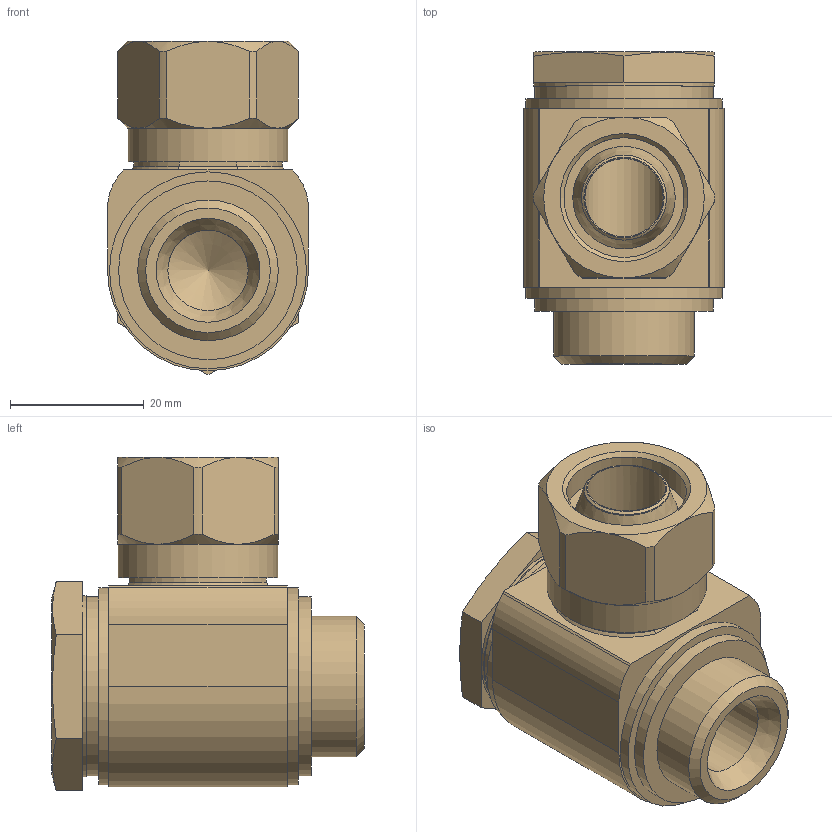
import cadquery as cq
import math


HEX_SIDES = 6

body_width = 30.0
body_radius = body_width / 2
body_half_length = 13.35
body_top = body_width / 2
side_flat_top = 9.25
shoulder_radius = 8.0
top_edge_bevel = 0.25

bolt_end_y = -24.8
front_collar_y = -16.9
front_washer_y = -15.0
back_washer_y = 14.8
bolt_flange_y = 16.7
head_seat_y = 17.2
head_back_y = 21.8

head_across_flats = 27.0
head_bevel_diameter = 26.4
head_bevel_angle = 15.0
head_turn_angle = 30.0
flange_diameter = 27.0
collar_diameter = 26.7
washer_diameter = 29.4
stud_diameter = 21.0
stud_chamfer = 1.2
bolt_bore_diameter = 12.0
bolt_mouth_diameter = 15.5
bolt_bore_end_y = 6.0
drill_point_angle = 118.0
mouth_half_angle = 30.0

neck_diameter = 22.2
neck_across_flats = 20.45
neck_flare_height = 0.5
neck_flare_angle = 30.0

nut_length = 18.0
nut_hex_height = 13.0
nut_top = 34.2
nut_base = nut_top - nut_length
nut_hex_base = nut_top - nut_hex_height
nut_across_flats = 24.0
nut_corner_diameter = 27.0
nut_collar_diameter = 23.8
nut_bore_diameter = 17.9
nut_mouth_diameter = 19.1
nut_recess_depth = 4.2

cone_tip_diameter = 12.0
cone_land_diameter = 12.7
cone_tip_bevel_depth = 0.3
cone_land_length = 0.2
cone_base_diameter = 15.3
port_bore_diameter = 11.7


def revolve_about_z(profile):
    """Revolve (radius, height) points about the Z axis."""
    return cq.Workplane("XZ").polyline(profile).close().revolve(360, (0, 0, 0), (0, 1, 0))


def revolve_about_y(profile):
    """Revolve (radius, y) points about the Y axis."""
    return cq.Workplane("XY").polyline(profile).close().revolve(360, (0, 0, 0), (0, 1, 0))


def hexagon_corner_radius(across_flats):
    return across_flats / math.sqrt(3)


def make_body():
    """Rounded underside, flat sides and top, with large-radius shoulders."""
    arc_center_x = body_radius - shoulder_radius
    arc_end_z = body_top - top_edge_bevel
    arc_end_angle = math.asin((arc_end_z - side_flat_top) / shoulder_radius)

    def shoulder_point(angle):
        x = arc_center_x + shoulder_radius * math.cos(angle)
        z = side_flat_top + shoulder_radius * math.sin(angle)
        return x, z

    mid_x, mid_z = shoulder_point(arc_end_angle / 2)
    end_x, end_z = shoulder_point(arc_end_angle)
    top_x = end_x - top_edge_bevel
    return (
        cq.Workplane("XZ", origin=(0, body_half_length, 0))
        .moveTo(-body_radius, 0)
        .threePointArc((0, -body_radius), (body_radius, 0))
        .lineTo(body_radius, side_flat_top)
        .threePointArc((mid_x, mid_z), (end_x, end_z))
        .lineTo(top_x, body_top)
        .lineTo(-top_x, body_top)
        .lineTo(-end_x, end_z)
        .threePointArc((-mid_x, mid_z), (-body_radius, side_flat_top))
        .close()
        .extrude(2 * body_half_length)
    )


def make_bolt_shank():
    """Threaded stud, collars, washers and head flange as one turned shape."""
    stud_radius = stud_diameter / 2
    collar_radius = collar_diameter / 2
    washer_radius = washer_diameter / 2
    flange_radius = flange_diameter / 2
    return revolve_about_y([
        (0, bolt_end_y),
        (stud_radius - stud_chamfer, bolt_end_y),
        (stud_radius, bolt_end_y + stud_chamfer),
        (stud_radius, front_collar_y),
        (collar_radius, front_collar_y),
        (collar_radius, front_washer_y),
        (washer_radius, front_washer_y),
        (washer_radius, back_washer_y),
        (collar_radius, back_washer_y),
        (collar_radius, bolt_flange_y),
        (flange_radius, bolt_flange_y),
        (flange_radius, head_seat_y),
        (0, head_seat_y),
    ])


def make_bolt_head():
    """Hexagon head with corners up and down, bevelled on its back face."""
    corner_radius = hexagon_corner_radius(head_across_flats)
    bevel_radius = head_bevel_diameter / 2
    bevel_depth = (corner_radius - bevel_radius) * math.tan(math.radians(head_bevel_angle))
    hexagon = (
        cq.Workplane("XZ", origin=(0, head_back_y, 0))
        .polygon(HEX_SIDES, 2 * corner_radius)
        .extrude(head_back_y - head_seat_y)
        .rotate((0, 0, 0), (0, 1, 0), head_turn_angle)
    )
    envelope = revolve_about_y([
        (0, head_seat_y),
        (corner_radius, head_seat_y),
        (corner_radius, head_back_y - bevel_depth),
        (bevel_radius, head_back_y),
        (0, head_back_y),
    ])
    return hexagon.intersect(envelope)


def make_bolt_bore():
    """Blind bore with a tapered mouth and a drill-point bottom."""
    bore_radius = bolt_bore_diameter / 2
    mouth_radius = bolt_mouth_diameter / 2
    taper_length = (mouth_radius - bore_radius) / math.tan(math.radians(mouth_half_angle))
    point_length = bore_radius / math.tan(math.radians(drill_point_angle / 2))
    return revolve_about_y([
        (0, bolt_end_y),
        (mouth_radius, bolt_end_y),
        (bore_radius, bolt_end_y + taper_length),
        (bore_radius, bolt_bore_end_y),
        (0, bolt_bore_end_y + point_length),
    ])


def make_neck():
    """Round neck with two flats facing +Y and -Y, flared where it meets the body."""
    flare_width = neck_flare_height * math.tan(math.radians(neck_flare_angle))

    def flatted_disc(growth, base_z, height, taper):
        radius = neck_diameter / 2 + growth
        half_flats = neck_across_flats / 2 + growth
        half_chord = math.sqrt(radius**2 - half_flats**2)
        return (
            cq.Workplane("XY", origin=(0, 0, base_z))
            .moveTo(-half_chord, -half_flats)
            .lineTo(half_chord, -half_flats)
            .threePointArc((radius, 0), (half_chord, half_flats))
            .lineTo(-half_chord, half_flats)
            .threePointArc((-radius, 0), (-half_chord, -half_flats))
            .close()
            .extrude(height, taper=taper)
        )

    straight = flatted_disc(0, body_top, nut_base - body_top, 0)
    flare = flatted_disc(flare_width, body_top, neck_flare_height, neck_flare_angle)
    return straight.union(flare)


def make_nut():
    """Union nut: bevelled hexagon with rounded corners above a round collar."""
    corner_radius = nut_corner_diameter / 2
    bevel_radius = nut_across_flats / 2
    bevel = corner_radius - bevel_radius
    hexagon = (
        cq.Workplane("XY", origin=(0, 0, nut_hex_base))
        .polygon(HEX_SIDES, 2 * hexagon_corner_radius(nut_across_flats))
        .extrude(nut_hex_height)
    )
    envelope = revolve_about_z([
        (0, nut_hex_base),
        (bevel_radius, nut_hex_base),
        (corner_radius, nut_hex_base + bevel),
        (corner_radius, nut_top - bevel),
        (bevel_radius, nut_top),
        (0, nut_top),
    ])
    collar = (
        cq.Workplane("XY", origin=(0, 0, nut_base))
        .circle(nut_collar_diameter / 2)
        .extrude(nut_hex_base - nut_base)
    )
    return hexagon.intersect(envelope).union(collar)


def make_nut_recess():
    """Space between the nut bore and the sealing cone standing inside it."""
    bore_radius = nut_bore_diameter / 2
    mouth_radius = nut_mouth_diameter / 2
    land_radius = cone_land_diameter / 2
    land_top = nut_top - cone_tip_bevel_depth
    floor_z = nut_top - nut_recess_depth
    return revolve_about_z([
        (cone_tip_diameter / 2, nut_top),
        (land_radius, land_top),
        (land_radius, land_top - cone_land_length),
        (cone_base_diameter / 2, floor_z),
        (bore_radius, floor_z),
        (bore_radius, nut_top - (mouth_radius - bore_radius)),
        (mouth_radius, nut_top),
    ])


def make_port_bore():
    """Vertical bore from the cone tip down into the bolt bore."""
    return cq.Workplane("XY").circle(port_bore_diameter / 2).extrude(nut_top)


fitting = make_body().union(make_bolt_shank()).union(make_bolt_head())
fitting = fitting.union(make_neck()).union(make_nut())
result = fitting.cut(make_bolt_bore()).cut(make_nut_recess()).cut(make_port_bore())